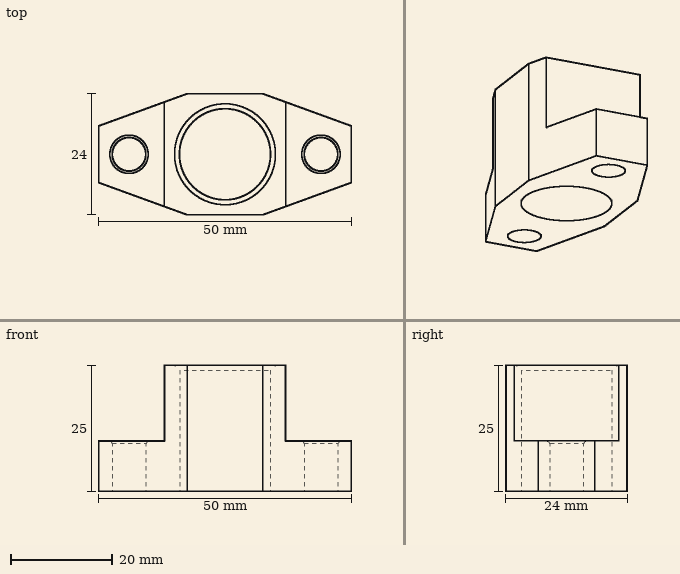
import cadquery as cq
import math

length = 50.0
width = 24.0
height = 25.0
flange_height = 10.0
tower_length = width

side_flat_length = 15.0
taper_angle = 20.0
taper_run = (length - side_flat_length) / 2
end_half_width = width / 2 - taper_run * math.tan(math.radians(taper_angle))

bore_diameter = 18.0
bore_chamfer = 1.0
hole_diameter = 6.6
hole_chamfer = 0.5
hole_spacing = 38.0


def tapered_block():
    """Full-height prism with the plan outline."""
    outline = [
        (-length / 2, -end_half_width),
        (-side_flat_length / 2, -width / 2),
        (side_flat_length / 2, -width / 2),
        (length / 2, -end_half_width),
        (length / 2, end_half_width),
        (side_flat_length / 2, width / 2),
        (-side_flat_length / 2, width / 2),
        (-length / 2, end_half_width),
    ]
    return cq.Workplane("XY").polyline(outline).close().extrude(height)


def stepped_envelope():
    """Low flange with the tall tower at its centre."""
    flange = cq.Workplane("XY").box(length, width, flange_height, centered=(True, True, False))
    tower = cq.Workplane("XY").box(tower_length, width, height, centered=(True, True, False))
    return flange.union(tower)


def chamfered_hole(x, diameter, top, chamfer):
    """Cutter for a through hole with a 45 degree chamfer at its top rim."""
    radius = diameter / 2
    profile = [
        (0, 0),
        (radius, 0),
        (radius, top - chamfer),
        (radius + chamfer, top),
        (0, top),
    ]
    cutter = cq.Workplane("XZ").polyline(profile).close().revolve(360, (0, 0), (0, 1))
    return cutter.translate((x, 0, 0))


result = tapered_block().intersect(stepped_envelope())
result = result.cut(chamfered_hole(0, bore_diameter, height, bore_chamfer))
for hole_x in (-hole_spacing / 2, hole_spacing / 2):
    result = result.cut(chamfered_hole(hole_x, hole_diameter, flange_height, hole_chamfer))